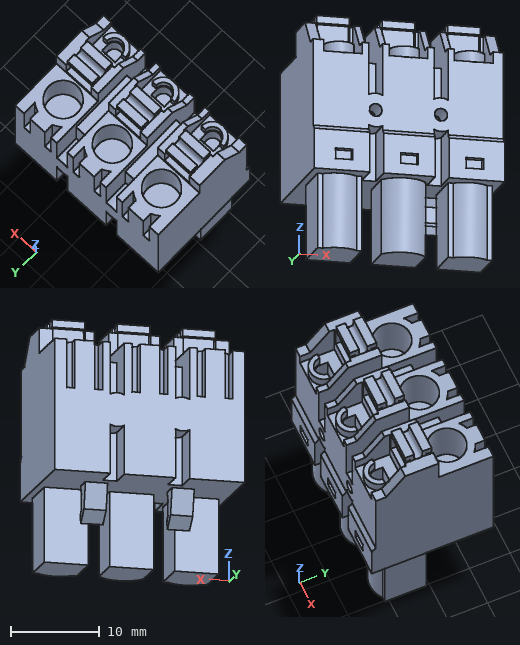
import cadquery as cq


width = 22.18
depth = 15.05
height = 28.07
pole_pitch = 7.6
pole_xs = [-pole_pitch, 0.0, pole_pitch]
gap_xs = [-pole_pitch / 2, pole_pitch / 2]

base_z = 8.73
ledge_z = 13.4
ledge_top_z = 13.9
front_y = 0.5
shoulder_z = 24.0
slope_foot_y = 1.77
slope_head_y = 4.13
crest_z = 26.95
crest_back_y = 8.28

gap_width = 1.63
web_front_y = 3.55
web_back_y = 11.87
web_top_z = 22.5
boss_z = 16.2
boss_radius = 1.96
boss_hole_radius = 0.73

pocket_width = 4.5
pocket_floor_z = 22.68
pocket_back_y = 4.77
collar_y = 2.45
collar_radius = 1.75
collar_bore_radius = 1.12
socket_radius = 1.0
socket_back_y = 3.37
socket_depth = 2.8

lever_width = 3.82
lever_seat_z = 24.42
lever_y = 6.45
lever_head_length = 3.28
lever_head_z = 27.17
lever_stem_length = 2.05
groove_width = 1.0
groove_bottom_z = 26.9

screw_y = 10.84
screw_radius = 2.25
screw_depth = 5.6
rear_groove_inner_x = 1.15
rear_groove_outer_x = 2.08
rear_groove_radius = 3.2
rear_groove_depth = 5.6

window_width = 2.02
window_height = 1.24
window_z = 10.65
window_depth = 0.75

plug_width = 5.16
plug_back_y = 7.15
plug_nose_y = 1.32
plug_nose_radius = 3.15
plug_shoulder_y = 2.02

hook_inner_x = 3.75
hook_width = 2.58


def block(x, y_front, y_back, z_bottom, z_top, x_width):
    """Box centred on x and reaching between the given Y and Z limits."""
    size_y = y_back - y_front
    size_z = z_top - z_bottom
    corner = (x - x_width / 2, y_front, z_bottom)
    return cq.Workplane("XY").box(x_width, size_y, size_z, centered=False).translate(corner)


def post(x, y, z_bottom, z_top, radius):
    """Upright cylinder."""
    return cq.Workplane("XY", origin=(x, y, z_bottom)).circle(radius).extrude(z_top - z_bottom)


def along_y(x, z, y_front, y_back, radius):
    """Cylinder lying along Y."""
    plane = cq.Workplane("XZ", origin=(x, y_front, z))
    return plane.circle(radius).extrude(y_front - y_back)


def housing_block():
    outline = [
        (0, base_z),
        (0, ledge_z),
        (front_y, ledge_top_z),
        (front_y, shoulder_z),
        (slope_foot_y, shoulder_z),
        (slope_head_y, crest_z),
        (crest_back_y, crest_z),
        (crest_back_y, shoulder_z),
        (depth, shoulder_z),
        (depth, base_z),
    ]
    return cq.Workplane("YZ").polyline(outline).close().extrude(width / 2, both=True)


def gap_cut(x):
    """Room between two poles: a web is left in the middle and a boss across it."""
    front = block(x, 0, web_front_y, base_z, crest_z, gap_width)
    middle = block(x, web_front_y, web_back_y, web_top_z, crest_z, gap_width)
    back = block(x, web_back_y, depth, base_z, crest_z, gap_width)
    boss = along_y(x, boss_z, front_y, depth, boss_radius)
    boss_hole = along_y(x, boss_z, front_y, web_front_y, boss_hole_radius)
    return front.union(middle).union(back).cut(boss).union(boss_hole)


def collar(x):
    """Half ring standing on the pocket floor, open to the back."""
    ring = post(x, collar_y, pocket_floor_z, shoulder_z, collar_radius)
    ring = ring.cut(post(x, collar_y, pocket_floor_z, shoulder_z, collar_bore_radius))
    front_half = block(x, collar_y - collar_radius, collar_y, pocket_floor_z, shoulder_z, 2 * collar_radius)
    return ring.intersect(front_half)


def pocket_cut(x):
    pocket = block(x, 0, pocket_back_y, pocket_floor_z, crest_z, pocket_width)
    socket_bottom_z = pocket_floor_z - socket_depth
    socket = post(x, collar_y, socket_bottom_z, pocket_floor_z, socket_radius)
    front_half = block(x, 0, collar_y, socket_bottom_z, pocket_floor_z, 2 * socket_radius)
    square_end = block(x, collar_y, socket_back_y, socket_bottom_z, pocket_floor_z, 2 * socket_radius)
    socket = socket.intersect(front_half).union(square_end)
    return pocket.cut(collar(x)).union(socket)


def lever_slot_cut(x):
    return block(x, pocket_back_y, crest_back_y, lever_seat_z, crest_z, lever_width)


def screw_hole_cut(x):
    return post(x, screw_y, shoulder_z - screw_depth, shoulder_z, screw_radius)


def rear_groove_cut(x):
    """Two grooves in the back face, ending on a wall concentric with the screw hole."""
    groove_bottom = shoulder_z - rear_groove_depth
    outer = block(x, screw_y, depth, groove_bottom, shoulder_z, 2 * rear_groove_outer_x)
    inner = block(x, screw_y, depth, groove_bottom, shoulder_z, 2 * rear_groove_inner_x)
    wall = post(x, screw_y, groove_bottom, shoulder_z, rear_groove_radius)
    return outer.cut(inner).cut(wall)


def window_cut(x):
    half_height = window_height / 2
    return block(x, 0, window_depth, window_z - half_height, window_z + half_height, window_width)


def plug(x, has_shoulders):
    """Plug with a rounded nose; shoulders carry the full width further forward."""
    nose_centre_y = plug_nose_y + plug_nose_radius
    nose = post(x, nose_centre_y, 0, base_z, plug_nose_radius)
    nose = nose.intersect(block(x, plug_nose_y, nose_centre_y, 0, base_z, plug_width))
    body_front_y = plug_shoulder_y if has_shoulders else nose_centre_y
    return block(x, body_front_y, plug_back_y, 0, base_z, plug_width).union(nose)


def hook(side):
    """Latch hook under the housing, on the left (-1) or right (+1) side."""
    outline = [
        (10.7, base_z),
        (10.05, 5.73),
        (8.67, 4.38),
        (8.36, 5.35),
        (8.9, 5.9),
        (8.9, 7.75),
        (8.55, base_z),
    ]
    start_x = side * hook_inner_x
    plane = cq.Workplane("YZ", origin=(start_x, 0, 0))
    return plane.polyline(outline).close().extrude(side * hook_width)


def make_housing():
    body = housing_block()
    for x in gap_xs:
        body = body.cut(gap_cut(x))
    for x in pole_xs:
        body = body.cut(pocket_cut(x))
        body = body.cut(lever_slot_cut(x))
        body = body.cut(screw_hole_cut(x))
        body = body.cut(rear_groove_cut(x))
        body = body.cut(window_cut(x))
        body = body.union(plug(x, has_shoulders=(x != 0)))
    for side in (-1, 1):
        body = body.union(hook(side))
    return body


def make_lever(x):
    """T-shaped lever with a round-bottomed groove across its head."""
    half_head = lever_head_length / 2
    half_stem = lever_stem_length / 2
    head = block(x, lever_y - half_head, lever_y + half_head, lever_head_z, height, lever_width)
    stem = block(x, lever_y - half_stem, lever_y + half_stem, lever_seat_z, lever_head_z, lever_width)
    groove_radius = groove_width / 2
    groove_axis_z = groove_bottom_z + groove_radius
    start = (x - lever_width / 2, lever_y, groove_axis_z)
    round_bottom = cq.Workplane("YZ", origin=start).circle(groove_radius).extrude(lever_width)
    straight_sides = block(
        x, lever_y - groove_radius, lever_y + groove_radius, groove_axis_z, height, lever_width
    )
    return head.union(stem).cut(round_bottom).cut(straight_sides)


housing = make_housing().solids().val()
levers = [make_lever(x).solids().val() for x in pole_xs]

result = cq.Compound.makeCompound([housing, *levers])